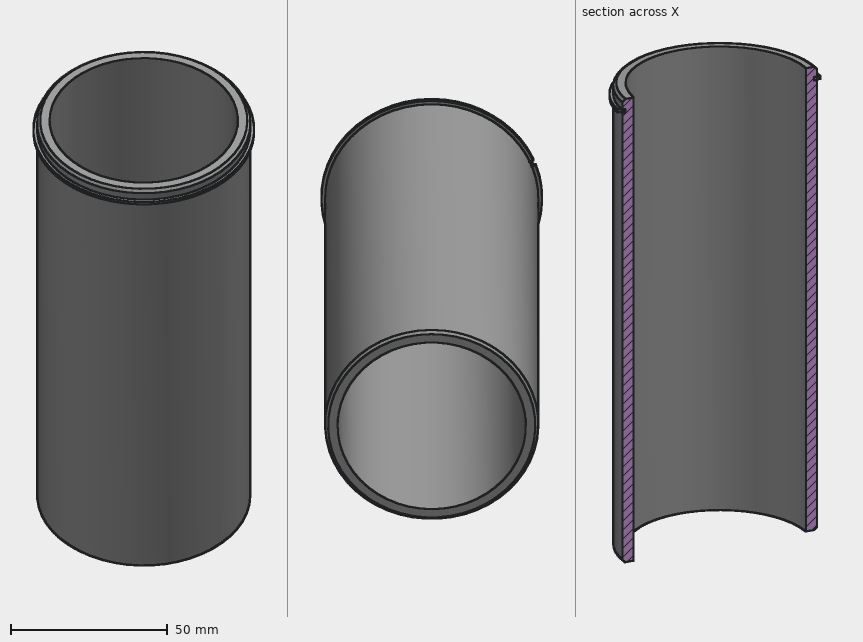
import cadquery as cq

sleeve_length = 160.0
sleeve_diameter = 68.0
bore_diameter = 60.0
end_chamfer = 1.0

ring_outer_diameter = 70.4
ring_inner_diameter = 66.0
ring_thickness = 1.0
ring_gap_width = 2.0
ring_top_setback = 3.7
ring_bottom_z = sleeve_length - ring_top_setback - ring_thickness


def make_tube(outer_diameter, inner_diameter, height, bottom_z):
    """Plain tube about the Z axis, standing on the height bottom_z."""
    return (
        cq.Workplane("XY", origin=(0, 0, bottom_z))
        .circle(outer_diameter / 2)
        .circle(inner_diameter / 2)
        .extrude(height)
    )


def make_full_ring():
    """Unbroken ring, the space that the retaining ring takes up before it is split."""
    return make_tube(ring_outer_diameter, ring_inner_diameter, ring_thickness, ring_bottom_z)


def make_retaining_ring():
    """Flat split ring that stands proud of the sleeve near its top end."""
    gap = cq.Workplane("XY", origin=(0, 0, ring_bottom_z)).box(
        ring_gap_width, ring_outer_diameter, ring_thickness, centered=(True, False, False)
    )
    return make_full_ring().cut(gap)


def make_sleeve():
    """Open tube with chamfered outer end edges and a groove all round for the ring."""
    body = cq.Workplane("XY").circle(sleeve_diameter / 2).extrude(sleeve_length)
    body = body.faces("<Z or >Z").edges().chamfer(end_chamfer)
    body = body.faces(">Z").workplane().hole(bore_diameter)
    return body.cut(make_full_ring())


sleeve = make_sleeve()
retaining_ring = make_retaining_ring()

result = cq.Compound.makeCompound([sleeve.val(), retaining_ring.val()])